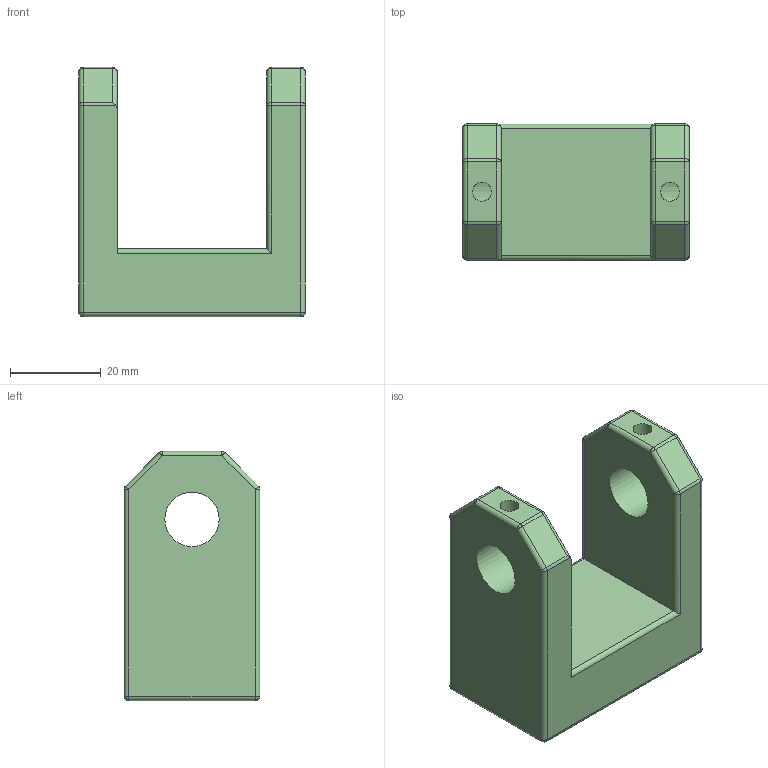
import cadquery as cq

length = 50.0
width = 30.0
height = 55.0

arm_thickness = 8.5
base_thickness = 15.0
corner_cut = 8.0
edge_radius = 1.0

pin_diameter = 12.0
pin_height = 40.0
set_screw_diameter = 4.2

gap = length - 2 * arm_thickness
arm_centre = (length - arm_thickness) / 2

tolerance = 0.01


def make_arm_profile():
    """Block with the upper corners of its Y-Z outline cut off at 45 degrees."""
    half_width = width / 2
    shoulder = height - corner_cut
    half_top = half_width - corner_cut
    return (
        cq.Workplane("YZ")
        .polyline([
            (-half_width, 0),
            (half_width, 0),
            (half_width, shoulder),
            (half_top, height),
            (-half_top, height),
            (-half_width, shoulder),
        ])
        .close()
        .extrude(length / 2, both=True)
    )


def make_gap():
    """Space between the two arms, open at the top and at both Y faces."""
    return (
        cq.Workplane("XY")
        .workplane(offset=base_thickness)
        .rect(gap, width)
        .extrude(height - base_thickness)
    )


def is_rounded(edge):
    """True for every edge except the inside corners and one inner edge left sharp."""
    centre = edge.Center()
    on_gap_side = abs(abs(centre.x) - gap / 2) < tolerance
    inside_corner = on_gap_side and abs(centre.z - base_thickness) < tolerance
    upright = abs(edge.tangentAt(0).z) > 1 - tolerance
    left_front = centre.x < 0 and centre.y < -tolerance
    sharp_inner_edge = on_gap_side and upright and left_front
    return not (inside_corner or sharp_inner_edge)


def round_edges(body):
    """Round the outside edges of the clevis."""
    edges = [edge for edge in body.edges().vals() if is_rounded(edge)]
    return body.newObject(edges).fillet(edge_radius)


def make_pin_hole():
    """Bore along X through both arms."""
    return (
        cq.Workplane("YZ")
        .center(0, pin_height)
        .circle(pin_diameter / 2)
        .extrude(length / 2, both=True)
    )


def make_set_screw_holes():
    """Vertical hole in the top of each arm, down into the pin bore."""
    return (
        cq.Workplane("XY")
        .workplane(offset=pin_height)
        .pushPoints([(-arm_centre, 0), (arm_centre, 0)])
        .circle(set_screw_diameter / 2)
        .extrude(height - pin_height)
    )


clevis = round_edges(make_arm_profile().cut(make_gap()))
result = clevis.cut(make_pin_hole()).cut(make_set_screw_holes())